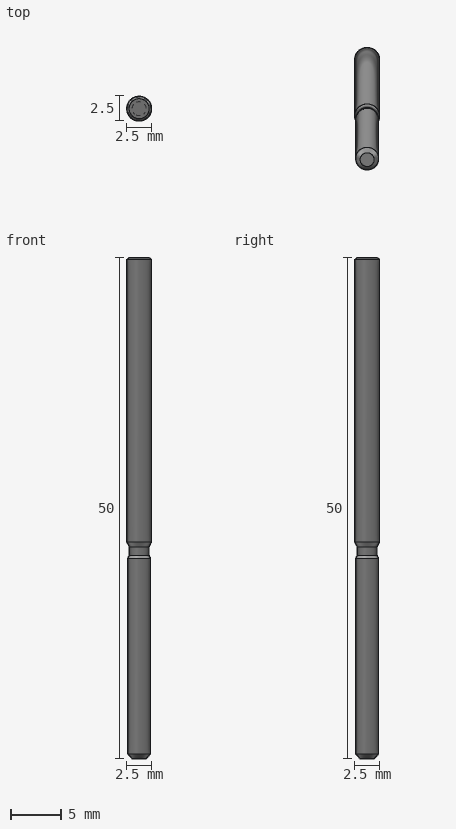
import cadquery as cq

TOTAL_LENGTH = 50.0
CUTTER_LENGTH = 20.3
NECK_LENGTH = 0.85

SHANK_DIAMETER = 2.5
NECK_DIAMETER = 2.0
CUTTER_DIAMETER = 2.3

TOP_CHAMFER_HEIGHT = 0.2
TOP_FACE_DIAMETER = 2.0
SHOULDER_CHAMFER_HEIGHT = 0.5
CUTTER_TOP_CHAMFER_HEIGHT = 0.3
TIP_CHAMFER_HEIGHT = 0.5
TIP_DIAMETER = 1.4

neck_top = CUTTER_LENGTH + NECK_LENGTH
shoulder_top = neck_top + SHOULDER_CHAMFER_HEIGHT


def turned_body(stations):
    """Revolve (diameter, height) stations, listed upward, about the Z axis."""
    outline = [(diameter / 2, height) for diameter, height in stations]
    bottom = stations[0][1]
    top = stations[-1][1]
    profile = [(0, bottom)] + [(-radius, height) for radius, height in outline] + [(0, top)]
    return cq.Workplane("YZ").polyline(profile).close().revolve(360, (0, 0), (0, 1))


def make_cutter():
    """Lower working length, chamfered at its tip and where it meets the neck."""
    return turned_body([
        (TIP_DIAMETER, 0),
        (CUTTER_DIAMETER, TIP_CHAMFER_HEIGHT),
        (CUTTER_DIAMETER, CUTTER_LENGTH - CUTTER_TOP_CHAMFER_HEIGHT),
        (NECK_DIAMETER, CUTTER_LENGTH),
    ])


def make_shank():
    """Upper shank with a reduced neck that stands on the cutter."""
    return turned_body([
        (NECK_DIAMETER, CUTTER_LENGTH),
        (NECK_DIAMETER, neck_top),
        (SHANK_DIAMETER, shoulder_top),
        (SHANK_DIAMETER, TOTAL_LENGTH - TOP_CHAMFER_HEIGHT),
        (TOP_FACE_DIAMETER, TOTAL_LENGTH),
    ])


cutter = make_cutter()
shank = make_shank()

result = cq.Compound.makeCompound([cutter.val(), shank.val()])